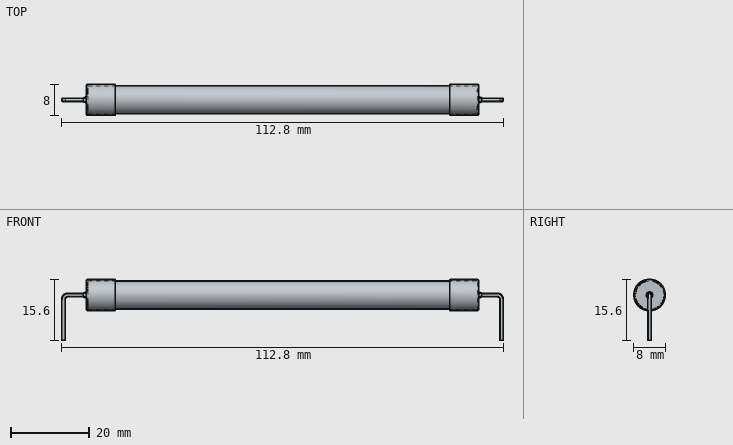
import cadquery as cq

overall_length = 112.8
body_length = 100.3
cap_diameter = 8.0
cap_length = 7.5
cap_face_round = 0.6
cap_rim_round = 0.3
tube_diameter = 7.2
lead_diameter = 0.9
lead_bend_radius = 1.1
overall_height = 15.6
collar_diameter = 1.6
collar_length = 0.8

cap_radius = cap_diameter / 2
tube_radius = tube_diameter / 2
lead_radius = lead_diameter / 2
collar_radius = collar_diameter / 2
cap_wall = cap_radius - tube_radius
cap_face_x = body_length / 2
cap_rim_x = cap_face_x - cap_length
tube_end_x = cap_face_x - cap_wall
lead_leg_x = overall_length / 2 - lead_radius
lead_tip_z = cap_radius - overall_height


def revolve_about_x(profile):
    """Turn a closed profile in the XZ plane into a solid around the X axis."""
    return profile.close().revolve(360, (0, 0, 0), (1, 0, 0))


def make_tube():
    """Plain round body whose ends sit inside the caps."""
    profile = (
        cq.Workplane("XZ")
        .moveTo(-tube_end_x, 0)
        .lineTo(-tube_end_x, tube_radius)
        .lineTo(tube_end_x, tube_radius)
        .lineTo(tube_end_x, 0)
    )
    return revolve_about_x(profile)


def make_cap():
    """Cup over the +X tube end, with rounded outer edges."""
    outside = (
        cq.Workplane("XZ")
        .moveTo(cap_rim_x, 0)
        .lineTo(cap_rim_x, cap_radius)
        .lineTo(cap_face_x, cap_radius)
        .lineTo(cap_face_x, 0)
    )
    cap = revolve_about_x(outside)
    cap = cap.faces(">X").edges().fillet(cap_face_round)
    cap = cap.faces("<X").edges().fillet(cap_rim_round)
    return cap.cut(make_tube())


def make_collar():
    """Tapered ring around the +X lead, narrowing to the wire surface."""
    profile = (
        cq.Workplane("XZ")
        .moveTo(cap_face_x, lead_radius)
        .lineTo(cap_face_x, collar_radius)
        .lineTo(cap_face_x + collar_length, lead_radius)
    )
    return revolve_about_x(profile)


def make_lead():
    """Round wire leaving the +X cap along the axis and bending down."""
    path = (
        cq.Workplane("XZ")
        .moveTo(cap_face_x, 0)
        .lineTo(lead_leg_x - lead_bend_radius, 0)
        .tangentArcPoint((lead_leg_x, -lead_bend_radius), relative=False)
        .lineTo(lead_leg_x, lead_tip_z)
    )
    section = cq.Workplane("YZ", origin=(cap_face_x, 0, 0)).circle(lead_radius)
    return section.sweep(path)


tube = make_tube()
bodies = [tube.val()]
for make_end_body in (make_cap, make_collar, make_lead):
    end_body = make_end_body()
    bodies.append(end_body.val())
    bodies.append(end_body.mirror("YZ").val())

result = cq.Compound.makeCompound(bodies)